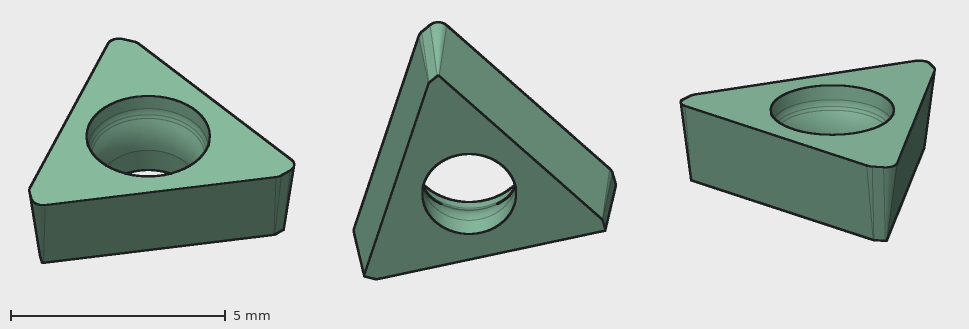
import cadquery as cq
import math

thickness = 1.98
relief_angle = 7.0
edge_distance = 1.99
corner_radius = 0.275
length_y = 6.25

round_drop = (edge_distance - corner_radius) * math.sqrt(3) / 2 + corner_radius / 2
wiper_distance = (length_y - round_drop) / 1.5

mouth_radius = 1.44
mouth_cone_radius = 1.395
mouth_cone_depth = 0.35
seat_cone_top_radius = 1.35
seat_cone_top_depth = 0.5
seat_top_radius = 1.31
seat_top_depth = 0.58
bore_radius = 1.095
bore_top_depth = 1.375

corner_count = 3
corner_step = 360.0 / corner_count
edge_normal = 180.0
wiper_normal = 90.0


def point_between(angle_a, distance_a, angle_b, distance_b):
    """Intersection of two lines, each given by its normal angle and distance from the axis."""
    a = math.radians(angle_a)
    b = math.radians(angle_b)
    det = math.sin(b - a)
    x = (distance_a * math.sin(b) - distance_b * math.sin(a)) / det
    y = (distance_b * math.cos(a) - distance_a * math.cos(b)) / det
    return x, y


def on_circle(centre, radius, angle):
    a = math.radians(angle)
    return centre[0] + radius * math.cos(a), centre[1] + radius * math.sin(a)


def rounded_outline(z, inset):
    """Outline moved inward by inset; the corner arcs keep their centres."""
    sides = []
    for i in range(corner_count):
        turn = -i * corner_step
        sides.append((edge_normal + turn, edge_distance))
        sides.append((wiper_normal + turn, wiper_distance))

    radius = corner_radius - inset
    arcs = []
    for i, (angle, distance) in enumerate(sides):
        next_angle, next_distance = sides[(i + 1) % len(sides)]
        turn = (angle - next_angle) % 360
        centre = point_between(
            angle, distance - corner_radius, next_angle, next_distance - corner_radius
        )
        arcs.append([on_circle(centre, radius, angle - turn * part) for part in (0, 0.5, 1)])

    outline = cq.Workplane("XY", origin=(0, 0, z)).moveTo(*arcs[-1][2])
    for start, middle, end in arcs:
        outline = outline.lineTo(*start).threePointArc(middle, end)
    return outline.wire().val()


def make_body():
    inset = thickness * math.tan(math.radians(relief_angle))
    bottom = rounded_outline(0, inset)
    top = rounded_outline(thickness, 0)
    return cq.Workplane(cq.Solid.makeLoft([bottom, top], True))


def make_screw_hole():
    """Revolved cutter: straight bore, rounded screw seat and a slightly tapered mouth."""
    return (
        cq.Workplane("XZ")
        .lineTo(bore_radius, 0)
        .lineTo(bore_radius, thickness - bore_top_depth)
        .tangentArcPoint((seat_top_radius, thickness - seat_top_depth), relative=False)
        .lineTo(seat_cone_top_radius, thickness - seat_cone_top_depth)
        .tangentArcPoint((mouth_cone_radius, thickness - mouth_cone_depth), relative=False)
        .lineTo(mouth_radius, thickness)
        .lineTo(0, thickness)
        .close()
        .revolve(360, (0, 0), (0, 1))
    )


result = make_body().cut(make_screw_hole())